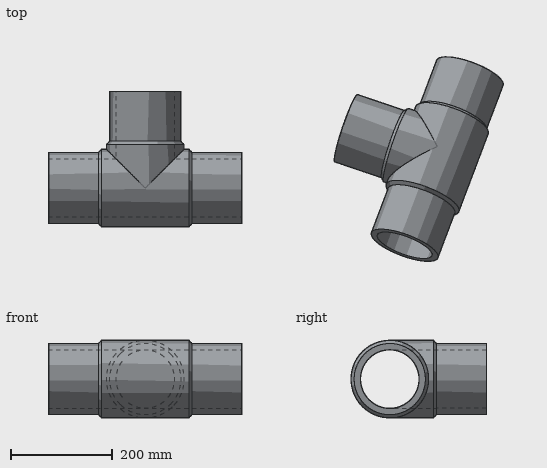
import cadquery as cq

pipe_diameter = 140.0
wall = 12.7
end_reach = 190.0
collar_reach = 92.0

pipe_radius = pipe_diameter / 2
bore_radius = pipe_radius - wall
collar_radius = pipe_radius + wall / 2
collar_chamfer = collar_radius - pipe_radius

RUN_PLANE = "YZ"
BRANCH_PLANE = "ZX"


def cylinder(plane, radius, start, end):
    """Cylinder along the plane normal, between two distances from the tee centre."""
    return cq.Workplane(plane).workplane(offset=start).circle(radius).extrude(end - start)


def run_outside():
    """Straight pipe along X with a thickened, chamfered middle."""
    collar = cylinder(RUN_PLANE, collar_radius, -collar_reach, collar_reach)
    collar = collar.faces("<X or >X").chamfer(collar_chamfer)
    return collar.union(cylinder(RUN_PLANE, pipe_radius, -end_reach, end_reach))


def branch_outside():
    """Side outlet along +Y with a thickened, chamfered root."""
    collar = cylinder(BRANCH_PLANE, collar_radius, 0, collar_reach)
    collar = collar.faces(">Y").chamfer(collar_chamfer)
    return collar.union(cylinder(BRANCH_PLANE, pipe_radius, 0, end_reach))


def bores():
    """Equal bores through the run and into the branch, meeting at the tee centre."""
    run_bore = cylinder(RUN_PLANE, bore_radius, -end_reach, end_reach)
    return run_bore.union(cylinder(BRANCH_PLANE, bore_radius, 0, end_reach))


result = run_outside().union(branch_outside()).cut(bores())